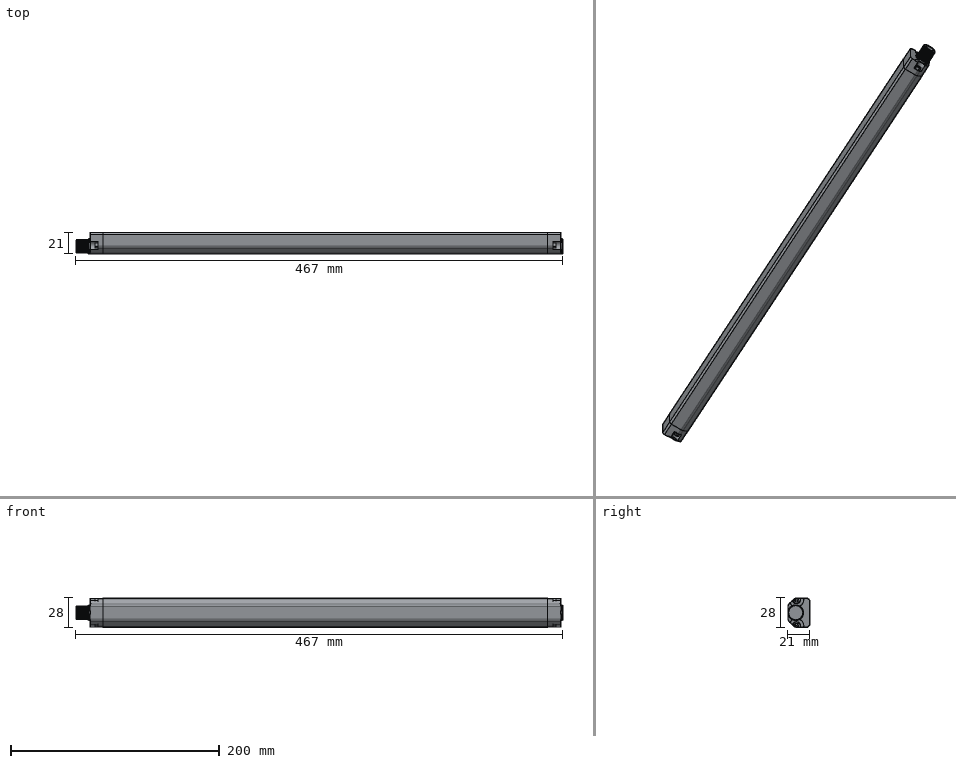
import cadquery as cq

length = 467.0
depth = 21.0
height = 28.0
left_end = -length / 2
right_end = length / 2

front_half_height = 7.5
slope_run = height / 2 - front_half_height
front_edge_radius = 3.5
back_edge_chamfer = 2.1

connector_length = 11.5
flange_length = 2.0
cap_length = 12.5
cap_inset = 0.15
left_cap_face = left_end + connector_length + flange_length
right_cap_face = right_end - flange_length
body_start = left_cap_face + cap_length
body_end = right_cap_face - cap_length

flange_radius = 7.5
flange_chamfer = 0.7
fitting_y = flange_radius - depth / 2

thread_radius = 6.5
thread_pitch = 1.15
groove_width = 0.55
groove_depth = 0.5
thread_count = int(connector_length / thread_pitch)
connector_chamfer = 0.7
socket_radius = 3.95
socket_depth = 7.0
pin_count = 4
pin_radius = 0.55
pin_circle_radius = 2.1
pin_length = 4.5

trough_radius = 3.95
trough_length = 7.5
trough_y = -2.5
trough_z = 12.5
spotface_radius = 7.0
spotface_depth = 0.5
screw_head_radius = 2.5
screw_head_length = 3.0
screw_head_z = 11.0
hex_socket_diameter = 2.5
hex_socket_depth = 2.0


def cylinder_x(start, size, radius, y, z):
    """Cylinder along X, from x = start to x = start + size."""
    return cq.Workplane("YZ", origin=(start, y, z)).circle(radius).extrude(size)


def bar(start, end, inset):
    """Stretch of the profile between two X positions, shrunk all round by inset."""
    back = depth / 2
    profile = (
        cq.Workplane("YZ", origin=(start, 0, 0))
        .polyline([
            (back, height / 2),
            (slope_run - back, height / 2),
            (-back, front_half_height),
            (-back, -front_half_height),
            (slope_run - back, -height / 2),
            (back, -height / 2),
        ])
        .close()
    )
    if inset:
        profile = profile.offset2D(-inset)
    block = profile.extrude(end - start)
    block = block.edges("|X and >Y").chamfer(back_edge_chamfer)
    front_corners = cq.selectors.BoxSelector((start, -depth, -height), (end, 0, height))
    return block.edges("|X").edges(front_corners).fillet(front_edge_radius)


def flange(face_x, inward):
    """Round flange with a chamfered outer rim, rooted below the spotfaces in the cap."""
    root_x = face_x + inward * spotface_depth
    disc = cylinder_x(root_x, -inward * (flange_length + spotface_depth), flange_radius, fitting_y, 0)
    outer_side = "<X" if inward > 0 else ">X"
    return disc.faces(outer_side).edges().chamfer(flange_chamfer)


def connector():
    """Threaded round plug with a pin socket in its end."""
    plug = cylinder_x(left_end, connector_length, thread_radius, fitting_y, 0)
    plug = plug.faces("<X").edges().chamfer(connector_chamfer)
    for turn in range(1, thread_count):
        groove_x = left_end + turn * thread_pitch
        ring = cylinder_x(groove_x, groove_width, thread_radius, fitting_y, 0)
        core = cylinder_x(groove_x, groove_width, thread_radius - groove_depth, fitting_y, 0)
        plug = plug.cut(ring.cut(core))
    plug = plug.cut(cylinder_x(left_end, socket_depth, socket_radius, fitting_y, 0))
    pins = (
        cq.Workplane("YZ", origin=(left_end + socket_depth, fitting_y, 0))
        .polarArray(pin_circle_radius, 0, 360, pin_count)
        .circle(pin_radius)
        .extrude(-pin_length)
    )
    return plug.union(pins)


def trough(face_x, inward, z):
    """Space for a screw, running into the cap from a shallow spotface on its end."""
    spotface = cylinder_x(face_x, inward * spotface_depth, spotface_radius, trough_y, z)
    return cylinder_x(face_x, inward * trough_length, trough_radius, trough_y, z).union(spotface)


def screw_head(face_x, inward, z):
    """Socket-head screw at the inner end of a trough."""
    seat_x = face_x + inward * trough_length
    head = cylinder_x(seat_x, -inward * screw_head_length, screw_head_radius, trough_y, z)
    head_top_x = seat_x - inward * screw_head_length
    hex_socket = (
        cq.Workplane("YZ", origin=(head_top_x, trough_y, z))
        .polygon(6, hex_socket_diameter)
        .extrude(inward * hex_socket_depth)
    )
    return head.cut(hex_socket)


result = (
    bar(body_start, body_end, 0)
    .union(bar(left_cap_face, body_start, cap_inset))
    .union(bar(body_end, right_cap_face, cap_inset))
)

for face_x, inward in ((left_cap_face, 1), (right_cap_face, -1)):
    for side in (1, -1):
        result = result.cut(trough(face_x, inward, side * trough_z))
        result = result.union(screw_head(face_x, inward, side * screw_head_z))
    result = result.union(flange(face_x, inward))

result = result.union(connector())